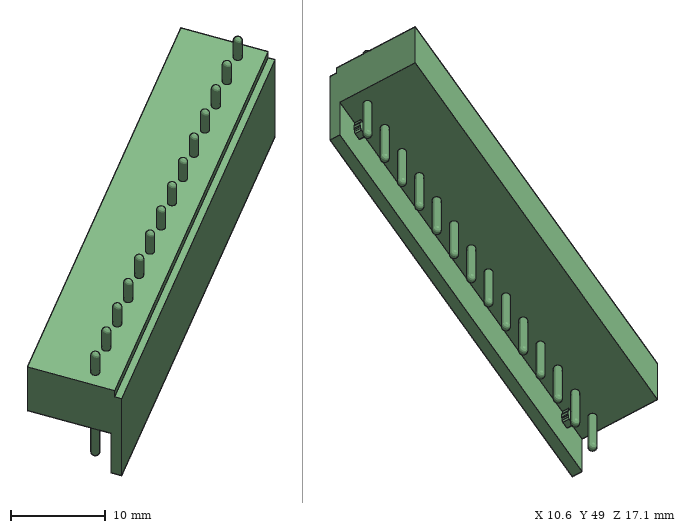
import cadquery as cq
import math

length = 49.0
depth = 10.6
height = 17.15

pin_rise = 3.2
block_height = 7.35
wall_thickness = 1.22
step_width = 0.8
step_height = 1.05

block_top = height - pin_rise
block_bottom = block_top - block_height
wall_inner_x = depth - wall_thickness

pin_count = 14
pin_pitch = length / pin_count
pin_diameter = 1.0
pin_radius = pin_diameter / 2
pin_x = 7.0
pin_bottom = 0.15

peg_depth = 0.8
peg_neck_width = 1.05
peg_bulge_width = 1.3
peg_foot_width = 1.15
peg_tip_width = 0.85
peg_height = 2.05
bulge_start = 0.6
bulge_full_start = 0.75
bulge_full_end = 1.35
bulge_end = 1.45
foot_end = 1.85


def make_housing():
    """Stepped block and wall, as one profile extruded along Y."""
    profile = [
        (0, block_bottom),
        (wall_inner_x, block_bottom),
        (wall_inner_x, 0),
        (depth, 0),
        (depth, block_top - step_height),
        (depth - step_width, block_top - step_height),
        (depth - step_width, block_top),
        (0, block_top),
    ]
    return cq.Workplane("XZ").polyline(profile).close().extrude(length / 2, both=True)


def make_pin(y):
    """Vertical rod with a hemisphere at each end, turned about its own axis."""
    half_length = (height - pin_bottom) / 2
    straight_half = half_length - pin_radius
    arc_offset = pin_radius * math.sin(math.pi / 4)
    return (
        cq.Workplane("YZ", origin=(pin_x, y, pin_bottom + half_length))
        .moveTo(0, -half_length)
        .threePointArc((-arc_offset, -straight_half - arc_offset), (-pin_radius, -straight_half))
        .lineTo(-pin_radius, straight_half)
        .threePointArc((-arc_offset, straight_half + arc_offset), (0, half_length))
        .close()
        .revolve(360, (0, 0, 0), (0, 1, 0))
    )


def make_peg(y):
    """Stud standing out from the wall, symmetric in Y, starting at the block underside."""
    half_outline = [
        (peg_neck_width / 2, 0),
        (peg_neck_width / 2, -bulge_start),
        (peg_bulge_width / 2, -bulge_full_start),
        (peg_bulge_width / 2, -bulge_full_end),
        (peg_foot_width / 2, -bulge_end),
        (peg_foot_width / 2, -foot_end),
        (peg_tip_width / 2, -peg_height),
    ]
    mirrored_outline = [(-half_width, level) for half_width, level in reversed(half_outline)]
    return (
        cq.Workplane("YZ", origin=(wall_inner_x - peg_depth, y, block_bottom))
        .polyline(half_outline + mirrored_outline)
        .close()
        .extrude(peg_depth)
    )


result = make_housing()

first_pin_y = -(pin_count - 1) / 2 * pin_pitch
for index in range(pin_count):
    result = result.union(make_pin(first_pin_y + index * pin_pitch))

peg_y = length / 2 - pin_pitch
for side in (-1, 1):
    result = result.union(make_peg(side * peg_y))